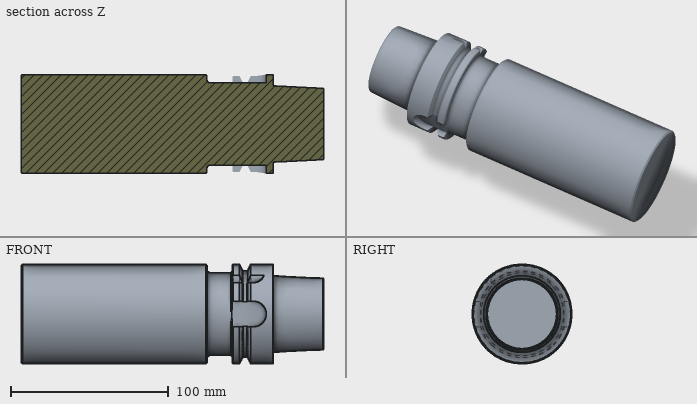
import cadquery as cq
import math

body_length = 118.0
flange_start = 134.0
gauge_face = 160.0
taper_length = 32.0
overall_length = gauge_face + taper_length

body_radius = 63.0 / 2
neck_radius = 52.6 / 2
flange_radius = 63.0 / 2
body_chamfer = 1.0
body_neck_fillet = 1.5
flange_neck_fillet = 1.0
flange_chamfer = 0.5

groove_center = gauge_face - 18.0
groove_width = 7.2
groove_root_radius = 55.0 / 2
groove_flank_angle = 27.0
groove_root_fillet = 0.7
groove_edge_fillet = 0.2

taper_start_radius = 48.65 / 2
taper_ratio = 10.0
taper_chamfer = 0.8

slot_width = 16.1
slot_end = 155.4
slot_floor = 26.4

notch_corner = 19.8
notch_floor_end = 147.0
notch_runout_radius = 7.5


def make_blank():
    """Revolve the body, neck, flange and taper about the X axis."""
    taper_end_radius = taper_start_radius - taper_length / taper_ratio / 2
    outline = (
        cq.Workplane("XY")
        .moveTo(0, 0)
        .lineTo(0, body_radius - body_chamfer)
        .lineTo(body_chamfer, body_radius)
        .lineTo(body_length - body_chamfer, body_radius)
        .lineTo(body_length, body_radius - body_chamfer)
        .lineTo(body_length, neck_radius + body_neck_fillet)
        .radiusArc((body_length + body_neck_fillet, neck_radius), -body_neck_fillet)
        .lineTo(flange_start - flange_neck_fillet, neck_radius)
        .radiusArc((flange_start, neck_radius + flange_neck_fillet), -flange_neck_fillet)
        .lineTo(flange_start, flange_radius - flange_chamfer)
        .lineTo(flange_start + flange_chamfer, flange_radius)
        .lineTo(gauge_face - flange_chamfer, flange_radius)
        .lineTo(gauge_face, flange_radius - flange_chamfer)
        .lineTo(gauge_face, taper_start_radius)
        .lineTo(overall_length - taper_chamfer, taper_end_radius + taper_chamfer / taper_ratio / 2)
        .lineTo(overall_length, taper_end_radius - taper_chamfer)
        .lineTo(overall_length, 0)
        .close()
    )
    return outline.revolve(360, (0, 0, 0), (1, 0, 0))


def make_groove():
    """V-flanked ring with a flat root, filleted at the root corners and the outer edges."""
    flank_angle = math.radians(groove_flank_angle)
    half_top = groove_width / 2
    half_root = half_top - (flange_radius - groove_root_radius) * math.tan(flank_angle)

    half_turn = (math.pi / 2 - flank_angle) / 2
    root_tangent = groove_root_fillet * math.tan(half_turn)
    edge_tangent = groove_edge_fillet * math.tan(half_turn)

    half_flat = half_root - root_tangent
    half_flank_low = half_root + root_tangent * math.sin(flank_angle)
    half_flank_high = half_top - edge_tangent * math.sin(flank_angle)
    half_mouth = half_top + edge_tangent
    flank_low_radius = groove_root_radius + root_tangent * math.cos(flank_angle)
    flank_high_radius = flange_radius - edge_tangent * math.cos(flank_angle)

    outline = (
        cq.Workplane("XY")
        .moveTo(groove_center - half_mouth, flange_radius)
        .radiusArc((groove_center - half_flank_high, flank_high_radius), groove_edge_fillet)
        .lineTo(groove_center - half_flank_low, flank_low_radius)
        .radiusArc((groove_center - half_flat, groove_root_radius), -groove_root_fillet)
        .lineTo(groove_center + half_flat, groove_root_radius)
        .radiusArc((groove_center + half_flank_low, flank_low_radius), -groove_root_fillet)
        .lineTo(groove_center + half_flank_high, flank_high_radius)
        .radiusArc((groove_center + half_mouth, flange_radius), groove_edge_fillet)
        .close()
    )
    return outline.revolve(360, (0, 0, 0), (1, 0, 0))


def make_drive_slot(side):
    """Flat-floored slot with a round end, open toward the neck; side is -1 or +1 along Y."""
    half_width = slot_width / 2
    slot_start = flange_start - flange_neck_fillet
    outline = (
        cq.Workplane("XZ", origin=(0, side * slot_floor, 0))
        .moveTo(slot_start, -half_width)
        .lineTo(slot_end - half_width, -half_width)
        .threePointArc((slot_end, 0), (slot_end - half_width, half_width))
        .lineTo(slot_start, half_width)
        .close()
    )
    return outline.extrude(-side * (flange_radius - slot_floor))


def make_notch():
    """Step in the -Y, +Z edge of the flange with a round run-out toward the taper."""
    runout_end = notch_floor_end + notch_runout_radius
    notch_top = notch_corner + notch_runout_radius
    outline = (
        cq.Workplane("XZ", origin=(0, -notch_corner, 0))
        .moveTo(flange_start, notch_corner)
        .lineTo(notch_floor_end, notch_corner)
        .radiusArc((runout_end, notch_top), -notch_runout_radius)
        .lineTo(flange_start, notch_top)
        .close()
    )
    return outline.extrude(flange_radius - notch_corner)


result = make_blank().cut(make_groove())
for slot_side in (-1, 1):
    result = result.cut(make_drive_slot(slot_side))
result = result.cut(make_notch())